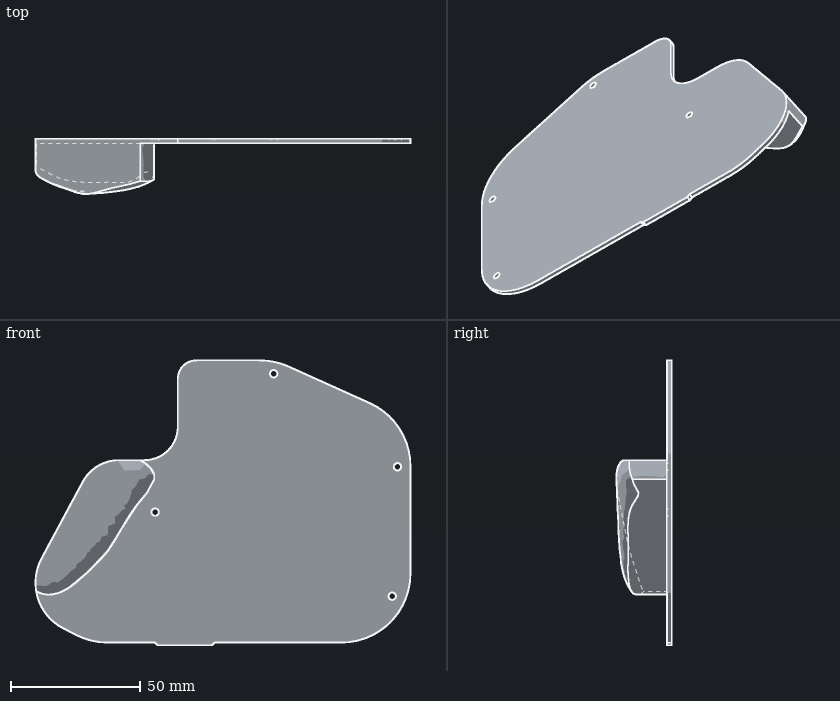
import cadquery as cq
import math

PLATE_LENGTH = 145.3
PLATE_TOP = 110.5
PLATE_BOTTOM = 1.0
PLATE_THICKNESS = 1.9
SHOULDER_X = 55.1
SHOULDER_Z = 71.8
LARGE_RADIUS = 26.9
GRIP_LOW_RADIUS = 19.9
GRIP_TOP_RADIUS = 16.0
SHOULDER_RADIUS = 12.8
TOP_LEFT_RADIUS = 7.3

GRIP_TOP_CORNER = (22.8, SHOULDER_Z)
GRIP_LOW_CORNER = (-7.3, 15.8)
PLATE_CORNERS = [
    (GRIP_LOW_CORNER, GRIP_LOW_RADIUS),
    (GRIP_TOP_CORNER, GRIP_TOP_RADIUS),
    ((SHOULDER_X, SHOULDER_Z), SHOULDER_RADIUS),
    ((SHOULDER_X, PLATE_TOP), TOP_LEFT_RADIUS),
    ((92.7, PLATE_TOP), LARGE_RADIUS),
    ((PLATE_LENGTH, 86.8), LARGE_RADIUS),
    ((PLATE_LENGTH, PLATE_BOTTOM), LARGE_RADIUS),
    ((21.5, PLATE_BOTTOM), LARGE_RADIUS),
]

TAB_LEFT = 46.2
TAB_RIGHT = 69.5
TAB_CHAMFER = 1.2

HOLE_DIAMETER = 2.8
HOLE_CENTRES = [(92.3, 105.2), (140.3, 69.2), (46.4, 51.6), (138.2, 19.0)]

GRIP_HEIGHT = 21.5
GRIP_FOOT_Z = 21.1
GRIP_OVERSHOOT = 14.5
GRIP_INNER_EDGE = [
    (5.0, 19.6),
    (20.2, 28.3),
    (27.9, 36.5),
    (39.8, 55.1),
    (46.0, 66.3),
    (42.0, 70.9),
    (30.1, SHOULDER_Z),
]

GRIP_ANGLE = math.atan2(GRIP_TOP_CORNER[1] - GRIP_LOW_CORNER[1], GRIP_TOP_CORNER[0] - GRIP_LOW_CORNER[0])
CROWN_ORIGIN = (2.3, 33.7)
CROWN_OFFSETS = (-1.5, 1.5, 11.6, 17.5, 24.0)
CROWN_SECTIONS = [
    (-14.5, (7.5, 8.0, 8.3, 6.1, 2.2)),
    (-5.8, (12.5, 14.0, 17.0, 13.8, 2.2)),
    (5.8, (16.5, 17.5, 19.9, 18.0, 2.2)),
    (20.3, (19.3, 19.8, 20.8, 19.6, 2.9)),
    (34.9, (21.5, 21.5, 20.8, 19.8, 8.7)),
    (43.6, (20.2, 20.2, 19.8, 19.2, 13.8)),
    (53.8, (13.8, 14.2, 14.5, 14.5, 13.1)),
]


def rounded_outline(thickness):
    """Plate outline, without the tab, extruded from Y = 0 towards -Y."""
    points = [point for point, _ in PLATE_CORNERS]
    body = cq.Workplane("XZ").polyline(points).close().extrude(thickness)
    for (x, z), radius in PLATE_CORNERS:
        corner = cq.selectors.NearestToPointSelector((x, -thickness / 2, z))
        body = body.edges("|Y").edges(corner).fillet(radius)
    return body


def make_plate():
    tab = (
        cq.Workplane("XZ")
        .moveTo(TAB_LEFT, PLATE_BOTTOM)
        .lineTo(TAB_LEFT + TAB_CHAMFER, 0)
        .lineTo(TAB_RIGHT - TAB_CHAMFER, 0)
        .lineTo(TAB_RIGHT, PLATE_BOTTOM)
        .close()
        .extrude(PLATE_THICKNESS)
    )
    return rounded_outline(PLATE_THICKNESS).union(tab)


def make_grip():
    footprint = (
        cq.Workplane("XZ")
        .moveTo(-GRIP_OVERSHOOT, GRIP_FOOT_Z)
        .lineTo(0, GRIP_FOOT_Z)
        .spline(GRIP_INNER_EDGE, includeCurrent=True)
        .lineTo(-GRIP_OVERSHOOT, SHOULDER_Z)
        .close()
        .extrude(GRIP_HEIGHT)
    )
    return footprint.intersect(make_crown()).intersect(rounded_outline(GRIP_HEIGHT))


def make_crown():
    """Loft through cross-sections square to the straight left wall of the grip."""
    sections = []
    for station, heights in CROWN_SECTIONS:
        plane = cq.Plane(
            origin=(
                CROWN_ORIGIN[0] + station * math.cos(GRIP_ANGLE),
                0,
                CROWN_ORIGIN[1] + station * math.sin(GRIP_ANGLE),
            ),
            xDir=(math.sin(GRIP_ANGLE), 0, -math.cos(GRIP_ANGLE)),
            normal=(math.cos(GRIP_ANGLE), 0, math.sin(GRIP_ANGLE)),
        )
        profile = [(across, -height) for across, height in zip(CROWN_OFFSETS, heights)]
        left, right = CROWN_OFFSETS[0], CROWN_OFFSETS[-1]
        section = (
            cq.Workplane(plane)
            .moveTo(left, 0)
            .lineTo(*profile[0])
            .spline(profile[1:], includeCurrent=True)
            .lineTo(right, 0)
            .close()
        )
        sections.append(section.val())
    return cq.Workplane(obj=cq.Solid.makeLoft(sections))


holes = cq.Workplane("XZ").pushPoints(HOLE_CENTRES).circle(HOLE_DIAMETER / 2).extrude(PLATE_THICKNESS)
result = make_plate().union(make_grip()).cut(holes)